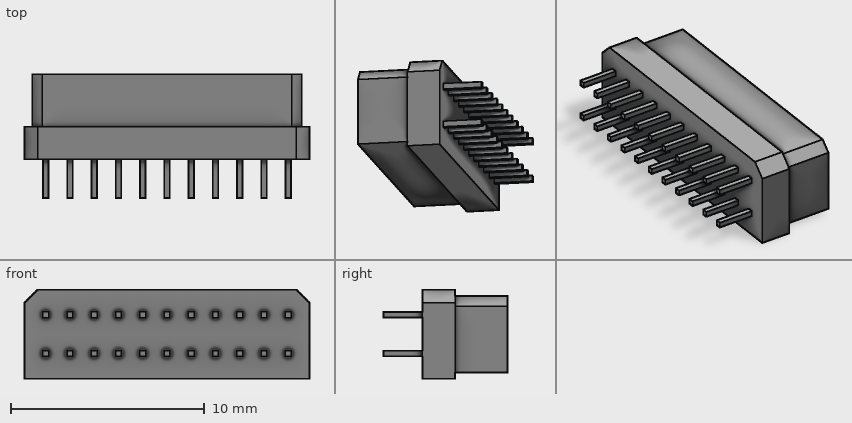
import cadquery as cq

flange_width = 14.7
flange_height = 4.6
flange_depth = 1.69
flange_chamfer = 0.68

body_width = 13.9
body_height = 3.95
body_depth = 2.7
body_chamfer = 0.53

pin_columns = 11
pin_rows = 2
pin_pitch = 1.25
row_spacing = 2.0
pin_size = 0.3
pin_length = 2.0


def chamfered_block(width, height, depth, chamfer, front_y):
    """Block centred on X and Z, running +Y from front_y, with its two top corners cut at 45 degrees."""
    return (
        cq.Workplane("XY")
        .box(width, depth, height, centered=(True, False, True))
        .edges("|Y and >Z")
        .chamfer(chamfer)
        .translate((0, front_y, 0))
    )


def pin_array():
    """Square pins running -Y from the flange face, rooted on that face."""
    return (
        cq.Workplane("XZ")
        .rarray(pin_pitch, row_spacing, pin_columns, pin_rows)
        .rect(pin_size, pin_size)
        .extrude(pin_length)
    )


flange = chamfered_block(flange_width, flange_height, flange_depth, flange_chamfer, 0)
body = chamfered_block(body_width, body_height, body_depth, body_chamfer, flange_depth)
result = flange.union(body).union(pin_array())